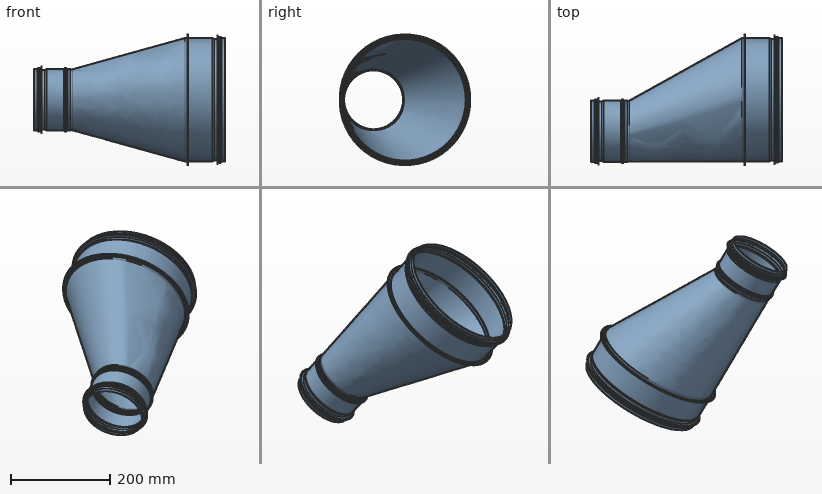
import cadquery as cq

TOTAL_LENGTH = 384.2
WALL = 0.6
SMALL_R = 124.0 / 2
LARGE_R = 249.0 / 2

HEM_LENGTH = 6.5
GROOVE_END = 22.0
GROOVE_RAMP = 3.5
GROOVE_DEPTH = 2.0
FOLD_R = (GROOVE_DEPTH + WALL) / 2

SEAT_START = 9.5
LIP_1_TIP = 10.8
LIP_2_TIP = 15.5
LIP_GAP = 1.5
LIP_TIP_WIDTH = 1.0
GASKET_END = 16.0
LIP_1_HEIGHT = 2.5
LIP_2_HEIGHT = 5.5

JOINT_START = 60.0
JOINT_END = 68.0
JOINT_RAMP = 1.0
JOINT_DEPTH = 2.0
SMALL_SLEEVE_END = 73.0
BEAD_START = 62.2
BEAD_END = 65.5
BEAD_HEIGHT = 2.3

CONE_START = 77.0
CONE_END = 303.5

SEAM_X = 309.3
SEAM_RIM_R = 263.5 / 2
SEAM_LIP_R = 258.0 / 2
BEND_R = 0.8

SPIGOT_R = SMALL_R - WALL
SMALL_AXIS_Y = SPIGOT_R - LARGE_R


def revolve_ring(outline, axis_y=0):
    """Revolve a closed (x, radius) outline about the line parallel to X at y = axis_y."""
    body = outline.close().revolve(360, (0, 0, 0), (1, 0, 0))
    return body.translate((0, axis_y, 0))


def polygon(points):
    return cq.Workplane("XY").polyline(points)


def offset_inward(points):
    """The inner line of a sheet, one wall thickness below its outer line."""
    return [(x, r - WALL) for x, r in points]


def line_through(outline, points):
    for point in points:
        outline = outline.lineTo(*point)
    return outline


def mirror_to_large_end(body):
    """Turn a body built from x = 0 into one built from the open large end."""
    return body.mirror("YZ").translate((TOTAL_LENGTH, 0, 0))


def sleeve_outline(radius, outer_tail, inner_tail):
    """Sleeve open at x = 0, with a hem folded back outward there and a gasket groove behind it.

    The outer tail continues the outer line from the groove, and the inner tail comes back
    from the far end along the inner line.
    """
    bottom_r = radius - GROOVE_DEPTH
    groove = [(GROOVE_END, bottom_r), (GROOVE_END + GROOVE_RAMP, radius)]

    outline = (
        cq.Workplane("XY")
        .moveTo(HEM_LENGTH, radius)
        .lineTo(FOLD_R, radius)
        .threePointArc((0, radius - FOLD_R), (FOLD_R, bottom_r - WALL))
    )
    outline = line_through(outline, offset_inward(groove) + inner_tail)
    outline = line_through(outline, outer_tail + groove[::-1])
    return (
        outline.lineTo(FOLD_R, bottom_r)
        .threePointArc((WALL, radius - FOLD_R), (FOLD_R, radius - WALL))
        .lineTo(HEM_LENGTH, radius - WALL)
    )


def make_gasket(radius):
    """Two-lipped gasket in the groove of a sleeve open at x = 0, against the end of its hem."""
    bottom_r = radius - GROOVE_DEPTH
    lip_1_r = radius + LIP_1_HEIGHT
    lip_2_r = radius + LIP_2_HEIGHT
    return revolve_ring(polygon([
        (SEAT_START, bottom_r),
        (HEM_LENGTH, radius),
        (LIP_1_TIP - LIP_TIP_WIDTH, lip_1_r),
        (LIP_1_TIP, lip_1_r),
        (LIP_1_TIP, radius),
        (LIP_1_TIP + LIP_GAP, radius),
        (LIP_2_TIP - LIP_TIP_WIDTH, lip_1_r),
        (LIP_2_TIP - LIP_TIP_WIDTH, lip_2_r),
        (LIP_2_TIP, lip_2_r),
        (GASKET_END, radius),
        (GASKET_END, bottom_r),
    ]))


def joint_groove(radius):
    """Outer line of the joint groove rolled into a tube of this outer radius."""
    return [
        (JOINT_START, radius),
        (JOINT_START + JOINT_RAMP, radius - JOINT_DEPTH),
        (JOINT_END - JOINT_RAMP, radius - JOINT_DEPTH),
        (JOINT_END, radius),
    ]


def make_small_sleeve():
    outer = joint_groove(SMALL_R) + [(SMALL_SLEEVE_END, SMALL_R)]
    outline = sleeve_outline(SMALL_R, outer[::-1], offset_inward(outer))
    return revolve_ring(outline, SMALL_AXIS_Y)


def make_joint_ring():
    """Sealing ring that fills the joint groove and stands out as a bead."""
    bead_r = SMALL_R + BEAD_HEIGHT
    bead = [(BEAD_END, SMALL_R), (BEAD_END, bead_r), (BEAD_START, bead_r), (BEAD_START, SMALL_R)]
    return revolve_ring(polygon(joint_groove(SMALL_R) + bead), SMALL_AXIS_Y)


def oblique_cone(small_r, large_r):
    start = cq.Workplane("YZ", origin=(CONE_START, 0, 0)).center(SMALL_AXIS_Y, 0).circle(small_r)
    end = start.center(-SMALL_AXIS_Y, 0).workplane(offset=CONE_END - CONE_START).circle(large_r)
    return end.loft(ruled=True)


def make_cone():
    """Cone with a spigot at its small end and a flanged collar at its large end."""
    spigot_line = joint_groove(SPIGOT_R)[1:] + [(CONE_START, SPIGOT_R)]
    spigot = revolve_ring(polygon(spigot_line + offset_inward(spigot_line)[::-1]), SMALL_AXIS_Y)

    shell = oblique_cone(SPIGOT_R, LARGE_R).cut(oblique_cone(SPIGOT_R - WALL, LARGE_R - WALL))

    flange_x = SEAM_X - WALL
    flange_r = SEAM_RIM_R - WALL
    collar = revolve_ring(
        cq.Workplane("XY")
        .moveTo(CONE_END, LARGE_R)
        .lineTo(flange_x - BEND_R, LARGE_R)
        .radiusArc((flange_x, LARGE_R + BEND_R), -BEND_R)
        .lineTo(flange_x, flange_r)
        .lineTo(SEAM_X, flange_r)
        .lineTo(SEAM_X, LARGE_R - WALL)
        .lineTo(CONE_END, LARGE_R - WALL)
    )
    return shell.union(spigot).union(collar)


def make_large_sleeve():
    """Sleeve whose flange folds around the rim of the cone flange."""
    seam = TOTAL_LENGTH - SEAM_X
    lip_x = seam + WALL
    flange_x = seam - WALL
    inner = [
        (seam, LARGE_R - WALL),
        (seam, SEAM_RIM_R - WALL),
        (lip_x, SEAM_RIM_R - WALL),
        (lip_x, SEAM_LIP_R),
    ]
    outer = [
        (lip_x + WALL, SEAM_LIP_R),
        (lip_x + WALL, SEAM_RIM_R),
        (flange_x, SEAM_RIM_R),
        (flange_x, LARGE_R),
    ]
    sleeve = revolve_ring(sleeve_outline(LARGE_R, outer, inner))
    bend = revolve_ring(
        cq.Workplane("XY")
        .moveTo(flange_x, LARGE_R - WALL / 2)
        .lineTo(flange_x, LARGE_R + BEND_R)
        .radiusArc((flange_x - BEND_R, LARGE_R), -BEND_R)
        .lineTo(flange_x - BEND_R, LARGE_R - WALL / 2)
    )
    return mirror_to_large_end(sleeve.union(bend))


small_sleeve = make_small_sleeve()
small_gasket = make_gasket(SMALL_R).translate((0, SMALL_AXIS_Y, 0))
joint_ring = make_joint_ring()
cone = make_cone()
large_sleeve = make_large_sleeve()
large_gasket = mirror_to_large_end(make_gasket(LARGE_R))

bodies = [small_sleeve, small_gasket, joint_ring, cone, large_sleeve, large_gasket]
result = cq.Compound.makeCompound([body.solids().val() for body in bodies])